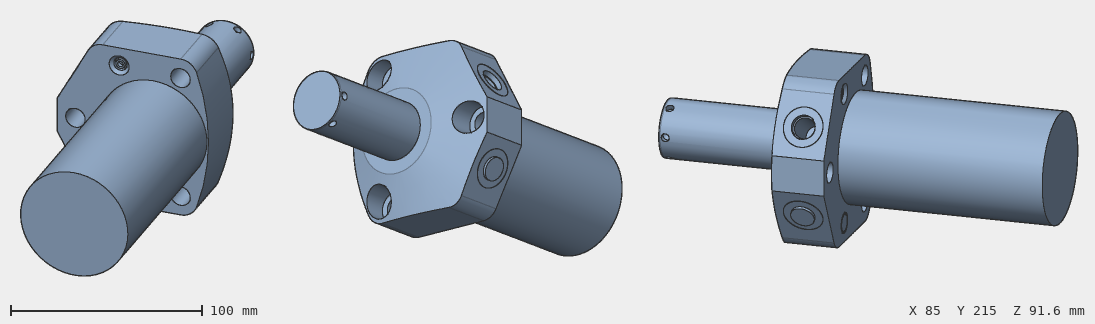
import cadquery as cq
import math

total_length = 215.0
body_radius = 30.0
body_length = 112.0
flange_thickness = 37.0
rod_radius = 16.0
rod_chamfer_length = 0.9
rod_chamfer_depth = 0.2
rod_end = total_length - body_length

flange_left = -54.0
flange_right = 31.0
flange_half_height = 45.8
left_flat_half_height = 9.7
slope_angle = 61.0
right_arc_radius = 120.0
corner_radius = 9.5

cone_angle = 15.0
cone_top_radius = 23.2
cone_outer_radius = 86.0

bolt_hole_diameter = 11.0
bolt_head_radius = 8.8
bolt_seat_y = 19.3
bolt_hole_centers = [(-43.6, 0), (15.3, 34.6), (15.3, -34.6)]

side_port_y = 14.0
side_port_z = 24.3
spotface_radius = 10.7
spotface_depth = 0.2
port_mouth_radius = 6.5
port_mouth_depth = 3.2
port_radius = 5.5
port_depth = 25.8
plug_depth = 4.3
plug_height = 1.3

screw_x = -19.1
screw_z = 35.5
screw_mouth_radius = 5.5
screw_bore_radius = 3.7
screw_cone_depth = 1.7
screw_bore_depth = 4.3
screw_tip_radius = 2.5
screw_tip_height = 2.5
screw_socket_radius = 1.5
cover_radius = 4.7
cover_groove_depth = 0.9

spanner_hole_count = 6
spanner_hole_radius = 2.1
spanner_hole_depth = 3.2
spanner_hole_point = 1.3
spanner_hole_from_end = 3.7


def y_cylinder(radius, start, length, x=0, z=0):
    """Cylinder along +Y from Y = start."""
    return cq.Workplane(cq.Solid.makeCylinder(radius, length, cq.Vector(x, start, z), cq.Vector(0, 1, 0)))


def y_cone(start_radius, end_radius, start, length, x=0, z=0):
    """Cone along +Y from Y = start."""
    return cq.Workplane(
        cq.Solid.makeCone(start_radius, end_radius, length, cq.Vector(x, start, z), cq.Vector(0, 1, 0))
    )


def make_flange():
    slope_run = (flange_half_height - left_flat_half_height) / math.tan(math.radians(slope_angle))
    top_left = flange_left + slope_run
    arc_sag = right_arc_radius - math.sqrt(right_arc_radius**2 - flange_half_height**2)
    top_right = flange_right - arc_sag
    prism = (
        cq.Workplane("XZ")
        .moveTo(flange_left, -left_flat_half_height)
        .lineTo(flange_left, left_flat_half_height)
        .lineTo(top_left, flange_half_height)
        .lineTo(top_right, flange_half_height)
        .threePointArc((flange_right, 0), (top_right, -flange_half_height))
        .lineTo(top_left, -flange_half_height)
        .close()
        .extrude(-flange_thickness)
    )
    prism = prism.edges("|Y").edges(">Z or <Z").fillet(corner_radius)
    cone_drop = (cone_outer_radius - cone_top_radius) * math.tan(math.radians(cone_angle))
    cone_start = flange_thickness - cone_drop
    envelope = y_cone(cone_outer_radius, cone_top_radius, cone_start, cone_drop)
    envelope = envelope.union(y_cylinder(cone_outer_radius, 0, cone_start))
    return prism.intersect(envelope)


def make_rod():
    straight_end = rod_end - rod_chamfer_length
    rod = y_cylinder(rod_radius, 0, straight_end)
    tip = y_cone(rod_radius, rod_radius - rod_chamfer_depth, straight_end, rod_chamfer_length)
    return rod.union(tip)


def spanner_holes():
    hole_y = rod_end - spanner_hole_from_end
    holes = cq.Workplane()
    for index in range(spanner_hole_count):
        angle = 2 * math.pi * index / spanner_hole_count
        outward = cq.Vector(math.cos(angle), 0, math.sin(angle))
        floor = outward * (rod_radius - spanner_hole_depth) + cq.Vector(0, hole_y, 0)
        bore = cq.Solid.makeCylinder(spanner_hole_radius, 2 * spanner_hole_depth, floor, outward)
        point = cq.Solid.makeCone(spanner_hole_radius, 0, spanner_hole_point, floor, outward * -1)
        holes = holes.add(bore).add(point)
    return holes.combine()


def sloped_face_plane(side):
    """Plane on the upper (side = 1) or lower (side = -1) sloped face, centred on its port."""
    slope = math.radians(slope_angle)
    x = flange_left + (side_port_z - left_flat_half_height) / math.tan(slope)
    return cq.Plane(
        origin=(x, side_port_y, side * side_port_z),
        xDir=(0, 1, 0),
        normal=(-math.sin(slope), 0, side * math.cos(slope)),
    )


def cut_open_port(part):
    face = cq.Workplane(sloped_face_plane(1))
    part = part.cut(face.circle(spotface_radius).extrude(-spotface_depth))
    part = part.cut(face.circle(port_mouth_radius).extrude(-port_mouth_depth))
    return part.cut(face.circle(port_radius).extrude(-port_depth))


def add_plugged_port(part):
    face = cq.Workplane(sloped_face_plane(-1))
    part = part.cut(face.circle(spotface_radius).extrude(-spotface_depth))
    plug = face.workplane(offset=-plug_depth).circle(port_mouth_radius).extrude(plug_depth + plug_height)
    return part.union(plug)


def cut_screw_ports(part):
    part = part.cut(y_cone(screw_mouth_radius, screw_bore_radius, 0, screw_cone_depth, screw_x, screw_z))
    part = part.cut(y_cylinder(screw_bore_radius, 0, screw_bore_depth, screw_x, screw_z))
    tip_start = screw_bore_depth - screw_tip_height
    part = part.union(y_cylinder(screw_tip_radius, tip_start, screw_tip_height, screw_x, screw_z))
    part = part.cut(y_cylinder(screw_socket_radius, tip_start, screw_tip_height, screw_x, screw_z))
    groove = y_cylinder(screw_mouth_radius, 0, cover_groove_depth, screw_x, -screw_z)
    groove = groove.cut(
        y_cone(cover_radius, screw_mouth_radius, 0, cover_groove_depth, screw_x, -screw_z)
    )
    return part.cut(groove)


result = make_flange().union(y_cylinder(body_radius, -body_length, body_length))
result = result.union(make_rod()).cut(spanner_holes())
for bolt_x, bolt_z in bolt_hole_centers:
    result = result.cut(y_cylinder(bolt_hole_diameter / 2, 0, flange_thickness, bolt_x, bolt_z))
    result = result.cut(y_cylinder(bolt_head_radius, bolt_seat_y, flange_thickness, bolt_x, bolt_z))
result = cut_open_port(result)
result = add_plugged_port(result)
result = cut_screw_ports(result)